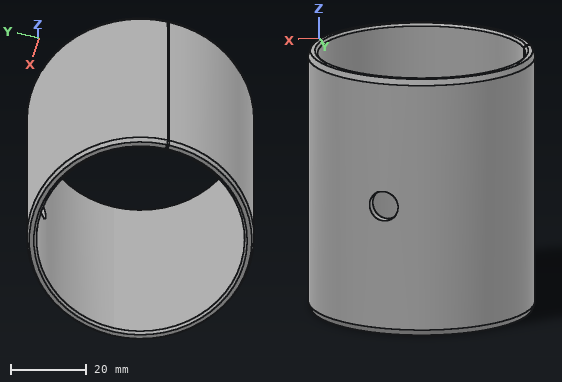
import cadquery as cq
import math

length = 70.0
outer_diameter = 60.0
wall = 2.5
outer_radius = outer_diameter / 2
inner_radius = outer_radius - wall

outer_chamfer_height = 1.6
outer_chamfer_depth = outer_chamfer_height * math.tan(math.radians(20))
inner_chamfer = 0.7

seam_width = 0.5

hole_diameter = 8.0
hole_angle = 59.0


def sleeve():
    """Chamfered wall section revolved about the Z axis."""
    top = length / 2
    shoulder = top - outer_chamfer_height
    outer_end_radius = outer_radius - outer_chamfer_depth
    inner_end_radius = inner_radius + inner_chamfer
    inner_shoulder = top - inner_chamfer
    section = (
        cq.Workplane("XZ")
        .moveTo(inner_radius, -inner_shoulder)
        .lineTo(inner_end_radius, -top)
        .lineTo(outer_end_radius, -top)
        .lineTo(outer_radius, -shoulder)
        .lineTo(outer_radius, shoulder)
        .lineTo(outer_end_radius, top)
        .lineTo(inner_end_radius, top)
        .lineTo(inner_radius, inner_shoulder)
        .close()
    )
    return section.revolve(360, (0, 0, 0), (0, 1, 0))


def seam():
    """Thin slot that splits the wall over its full length."""
    slot = cq.Workplane("XY").box(outer_radius, seam_width, length)
    return slot.translate((-outer_radius, seam_width / 2, 0))


def oil_hole():
    """Radial cylinder from the axis out past the wall."""
    drill = cq.Workplane("YZ").circle(hole_diameter / 2).extrude(outer_diameter)
    return drill.rotate((0, 0, 0), (0, 0, 1), hole_angle)


result = sleeve().cut(seam()).cut(oil_hole())